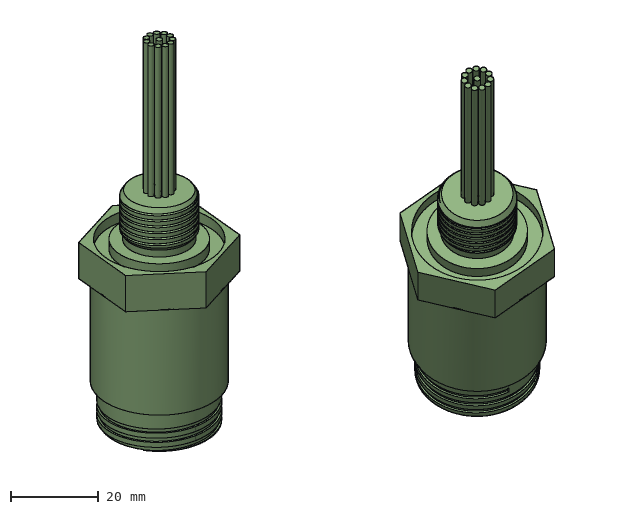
import cadquery as cq
import math

total_height = 100.7
body_bottom = 10.6
hex_bottom = 38.5
hex_top = 48.0
gland_bottom = 49.8
gland_top = 60.9

base_diameter = 28.6
base_chamfer = 0.2
base_groove_depth = 0.5
base_groove_width = 1.1
base_pitch = 2.4
base_groove_top = 7.0
base_groove_end_angle = 197.5

hex_sides = 6
across_flats = 32.0
body_diameter = 31.6

recess_diameter = 30.0
boss_diameter = 23.0
recess_depth = 2.7

neck_diameter = 16.8
gland_diameter = 18.1
gland_top_chamfer = (0.9, 1.4)
gland_bottom_rise = 0.9
gland_turns = 6
gland_groove_depth = 0.4
gland_groove_width = 0.5
gland_groove_bottom = 50.7
gland_groove_top = 60.1
gland_groove_start_angle = 90.0
gland_pitch = (gland_groove_top - gland_groove_bottom) / gland_turns

wire_diameter = 1.5
wire_circle_diameter = 6.0
outer_wire_count = 11
first_wire_angle = 90.0

overcut = 0.3


def cylinder(diameter, bottom, top):
    """Upright cylinder on the main axis."""
    return cq.Workplane("XY", origin=(0, 0, bottom)).circle(diameter / 2).extrude(top - bottom)


def helical_groove(section, radius, pitch, height, bottom, start_angle):
    """Right-handed groove; the section is drawn in (radius, height) about its middle."""
    path = cq.Workplane(cq.Wire.makeHelix(pitch, height, radius))
    groove = cq.Workplane("XZ").polyline(section).close().sweep(path, isFrenet=True)
    return groove.rotate((0, 0, 0), (0, 0, 1), start_angle).translate((0, 0, bottom))


def threaded_base():
    """Lower end with a square-cut thread that runs out through the bottom face."""
    base = cylinder(base_diameter, 0, body_bottom).faces("<Z").chamfer(base_chamfer)
    outer = base_diameter / 2
    root = outer - base_groove_depth
    half = base_groove_width / 2
    section = [
        (root, -half),
        (outer + overcut, -half),
        (outer + overcut, half),
        (root, half),
    ]
    bottom = -base_groove_width
    height = base_groove_top - bottom
    start_angle = base_groove_end_angle - 360 * height / base_pitch
    return base.cut(helical_groove(section, outer, base_pitch, height, bottom, start_angle))


def body_with_hexagon():
    """Round body under a hexagon that has a ring recess in its top face."""
    hexagon = (
        cq.Workplane("XY", origin=(0, 0, hex_bottom))
        .polygon(hex_sides, across_flats / math.cos(math.pi / hex_sides))
        .extrude(hex_top - hex_bottom)
    )
    floor = hex_top - recess_depth
    recess = cylinder(recess_diameter, floor, hex_top).cut(cylinder(boss_diameter, floor, hex_top))
    return cylinder(body_diameter, body_bottom, hex_bottom).union(hexagon).cut(recess)


def threaded_gland():
    """Neck and cable gland with a V-cut thread between two chamfers."""
    outer = gland_diameter / 2
    top_inset, top_drop = gland_top_chamfer
    profile = [
        (0, hex_top),
        (neck_diameter / 2, hex_top),
        (neck_diameter / 2, gland_bottom),
        (outer, gland_bottom + gland_bottom_rise),
        (outer, gland_top - top_drop),
        (outer - top_inset, gland_top),
        (0, gland_top),
    ]
    envelope = cq.Workplane("XZ").polyline(profile).close().revolve(360, (0, 0, 0), (0, 1, 0))
    flare = gland_groove_width / 2 * (1 + overcut / gland_groove_depth)
    section = [
        (outer - gland_groove_depth, 0),
        (outer + overcut, -flare),
        (outer + overcut, flare),
    ]
    height = gland_groove_top - gland_groove_bottom
    groove = helical_groove(
        section, outer, gland_pitch, height, gland_groove_bottom, gland_groove_start_angle
    )
    threaded_bar = cylinder(gland_diameter, hex_top, gland_top).cut(groove)
    return threaded_bar.intersect(envelope)


def wire_bundle():
    """Ring of wires around one wire on the axis."""
    length = total_height - gland_top
    ring = (
        cq.Workplane("XY", origin=(0, 0, gland_top))
        .polarArray(wire_circle_diameter / 2, first_wire_angle, 360, outer_wire_count)
        .circle(wire_diameter / 2)
        .extrude(length)
    )
    return ring.union(cylinder(wire_diameter, gland_top, total_height))


result = threaded_base().union(body_with_hexagon()).union(threaded_gland()).union(wire_bundle())